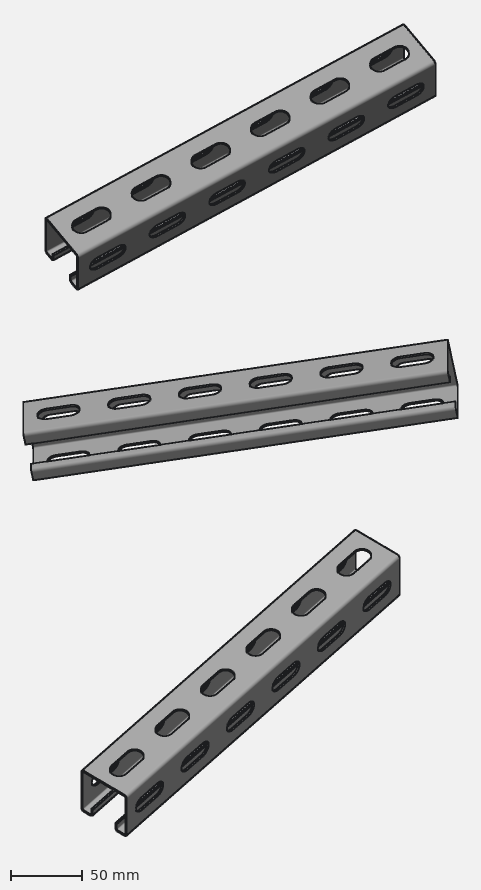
import cadquery as cq

length = 300.0
width = 41.0
height = 41.0
thickness = 1.5
bend_radius = 2.55
opening = 20.0
lip_height = 7.2

slot_count = 6
slot_length = 30.0
slot_width = 13.0
slot_pitch = length / slot_count

half_height = height / 2
inner_radius = bend_radius - thickness
flange = (width - opening) / 2


def block(size_x, size_z, corner_radius):
    """Full-length bar centred on the origin with rounded long edges."""
    return cq.Workplane("XY").box(size_x, length, size_z).edges("|Y").fillet(corner_radius)


def bottom_hook(side):
    """Bottom flange and upturned lip on one side (-1 left, +1 right)."""
    centre_x = side * (width - flange) / 2
    outer = block(flange, 2 * lip_height, bend_radius)
    inner = block(flange - 2 * thickness, 2 * (lip_height - thickness), inner_radius)
    lower_half = cq.Workplane("XY").box(flange, length, lip_height).translate((0, 0, -lip_height / 2))
    hook = outer.cut(inner).intersect(lower_half)
    return hook.translate((centre_x, 0, lip_height - half_height))


def channel():
    """Folded sheet section: rounded tube opened below, plus the two hooks."""
    tube = block(width, height, bend_radius)
    tube = tube.cut(block(width - 2 * thickness, height - 2 * thickness, inner_radius))
    mouth = cq.Workplane("XY").box(opening + 2 * bend_radius, length, 2 * lip_height)
    body = tube.cut(mouth.translate((0, 0, -half_height)))
    for side in (-1, 1):
        body = body.union(bottom_hook(side))
    return body


def slot_row(rotation, depth):
    """Row of slot-shaped prisms rising from the channel axis, turned about Y by rotation degrees."""
    row = (
        cq.Workplane("XY")
        .rarray(3, slot_pitch, 1, slot_count)
        .slot2D(slot_length, slot_width, 90)
        .extrude(depth)
    )
    return row.rotate((0, 0, 0), (0, 1, 0), rotation)


result = channel()
for rotation, depth in ((0, height), (90, width), (-90, width)):
    result = result.cut(slot_row(rotation, depth))